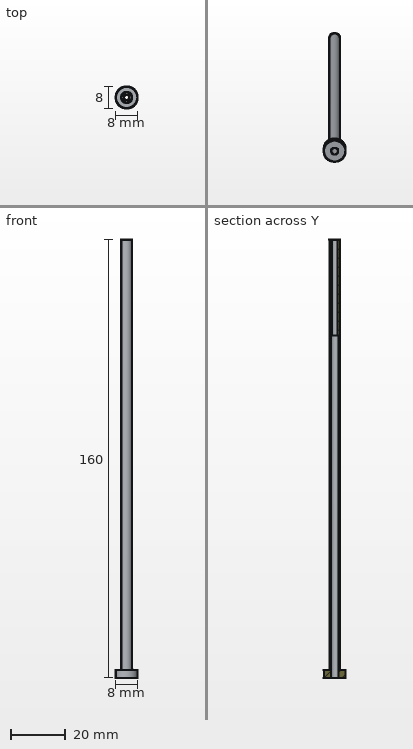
import cadquery as cq

total_length = 160.0
head_diameter = 8.0
head_height = 3.0
shaft_diameter = 4.0
bore_diameter = 2.0
relief_diameter = 2.5
guide_length = 35.0
neck_fillet_radius = 0.3

head_radius = head_diameter / 2
shaft_radius = shaft_diameter / 2


def make_sleeve_body():
    """Headed shaft turned about Z, with its underside on Z = 0 and a fillet where shaft meets head."""
    profile = (
        cq.Workplane("XZ")
        .lineTo(head_radius, 0)
        .lineTo(head_radius, head_height)
        .lineTo(shaft_radius + neck_fillet_radius, head_height)
        .radiusArc((shaft_radius, head_height + neck_fillet_radius), neck_fillet_radius)
        .lineTo(shaft_radius, total_length)
        .lineTo(0, total_length)
        .close()
    )
    return profile.revolve(360, (0, 0), (0, 1))


def make_bore():
    """Stepped bore: a close guide length at the tip and a wider relief below it, open at the head."""
    guide = cq.Workplane("XY").circle(bore_diameter / 2).extrude(total_length)
    relief = cq.Workplane("XY").circle(relief_diameter / 2).extrude(total_length - guide_length)
    return guide.union(relief)


result = make_sleeve_body().cut(make_bore())